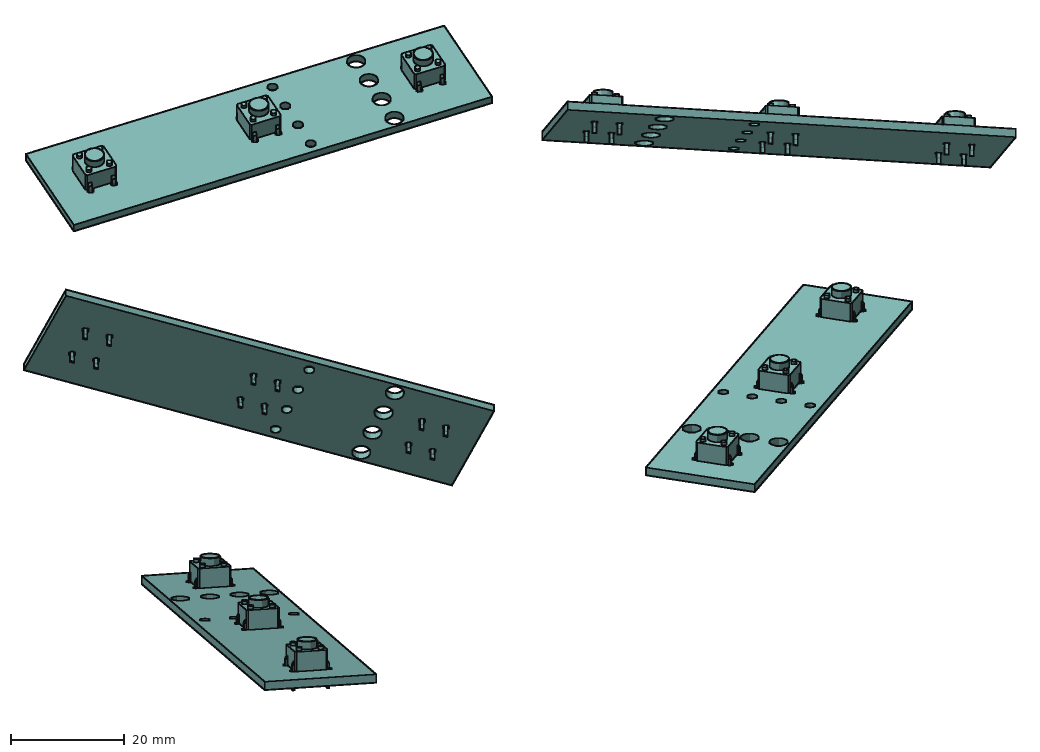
import cadquery as cq

BOARD_X = 20.35
BOARD_Y = 80.8
BOARD_T = 1.5
OVERALL_Z = 8.5

ROW_COUNT = 4
ROW_PITCH = 5.4
LARGE_HOLE_D = 3.2
LARGE_ROW_Y = 22.45
SMALL_HOLE_D = 1.8
SMALL_ROW_Y = 6.3

SWITCH_X = -0.1
SWITCH_PITCH = 31.75
SWITCH_Y = [-SWITCH_PITCH, 0.0, SWITCH_PITCH]
HOUSING_SIDE = 6.0
HOUSING_H = 3.55
CORNER_CHAMFER = 0.28
BUTTON_D = 3.5
BUTTON_CHAMFER = 0.1
PEG_D = 1.0
PEG_H = 0.6
PEG_SPACING = 3.95

LEAD_WIDTH = 0.7
LEAD_T = 0.3
LEAD_SPACING_Y = 4.5
LEAD_HOLE_D = 1.1
LEAD_HOLE_SPACING_X = 6.5
LEAD_DEPTH = 1.9
LEAD_RISE = 1.6
SHOULDER_DROP = 0.6
KNEE_DEPTH = 0.9
BULGE = 0.25

HOUSING_HALF = HOUSING_SIDE / 2
HOUSING_TOP = BOARD_T + HOUSING_H
BUTTON_TOP = OVERALL_Z - LEAD_DEPTH


def hole_row(y, diameter):
    """Cutters for one row of holes through the board."""
    return (
        cq.Workplane("XY")
        .center(0, y)
        .rarray(ROW_PITCH, 0.8, ROW_COUNT, 1)
        .circle(diameter / 2)
        .extrude(BOARD_T)
    )


def lead_holes(y):
    """Cutters for the four lead holes under one switch."""
    return (
        cq.Workplane("XY")
        .center(0, y)
        .rarray(LEAD_HOLE_SPACING_X, LEAD_SPACING_Y, 2, 2)
        .circle(LEAD_HOLE_D / 2)
        .extrude(BOARD_T)
    )


def make_board():
    board = cq.Workplane("XY").box(BOARD_X, BOARD_Y, BOARD_T, centered=(True, True, False))
    board = board.cut(hole_row(LARGE_ROW_Y, LARGE_HOLE_D))
    board = board.cut(hole_row(SMALL_ROW_Y, SMALL_HOLE_D))
    for y in SWITCH_Y:
        board = board.cut(lead_holes(y))
    return board


def make_lead():
    """One lead on the +X side of the housing, centred on Y = 0."""
    inner = HOUSING_HALF
    outer = inner + LEAD_T
    root_z = BOARD_T + LEAD_RISE
    bulge_z = BOARD_T / 2
    profile = [
        (inner, root_z),
        (outer, root_z - SHOULDER_DROP),
        (outer, BOARD_T),
        (outer + BULGE, bulge_z),
        (outer, -KNEE_DEPTH),
        (outer, -LEAD_DEPTH),
        (inner, -LEAD_DEPTH),
        (inner, -KNEE_DEPTH),
        (inner + BULGE, bulge_z),
        (inner, BOARD_T),
    ]
    return cq.Workplane("XZ").polyline(profile).close().extrude(LEAD_WIDTH / 2, both=True)


def make_switch(y):
    """Housing, button, corner pegs and leads of one switch as a single solid."""
    switch = (
        cq.Workplane("XY", origin=(0, 0, BOARD_T))
        .rect(HOUSING_SIDE, HOUSING_SIDE)
        .extrude(HOUSING_H)
        .edges("|Z")
        .chamfer(CORNER_CHAMFER)
    )
    housing_top = cq.Workplane("XY", origin=(0, 0, HOUSING_TOP))
    button = housing_top.circle(BUTTON_D / 2).extrude(BUTTON_TOP - HOUSING_TOP)
    button = button.faces(">Z").chamfer(BUTTON_CHAMFER)
    pegs = housing_top.rarray(PEG_SPACING, PEG_SPACING, 2, 2).circle(PEG_D / 2).extrude(PEG_H)
    switch = switch.union(button).union(pegs)

    right_lead = make_lead()
    left_lead = right_lead.mirror("YZ")
    for lead_y in (-LEAD_SPACING_Y / 2, LEAD_SPACING_Y / 2):
        switch = switch.union(right_lead.translate((0, lead_y, 0)))
        switch = switch.union(left_lead.translate((0, lead_y, 0)))
    return switch.translate((SWITCH_X, y, 0))


board = make_board()
switches = [make_switch(y) for y in SWITCH_Y]

result = cq.Compound.makeCompound([board.val(), *[switch.val() for switch in switches]])